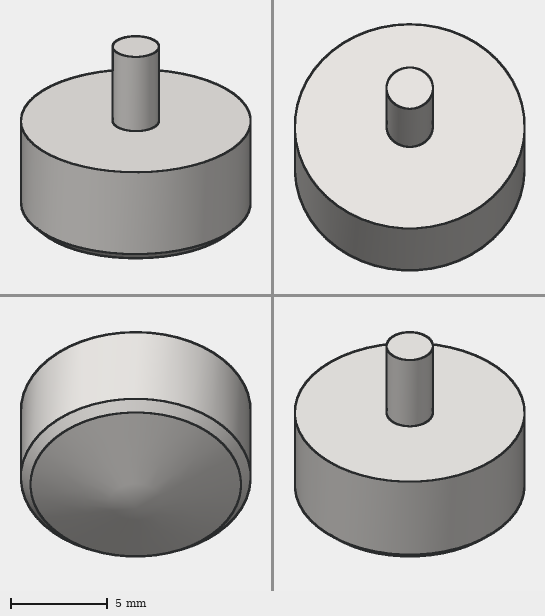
import cadquery as cq

body_diameter = 11.9
pin_diameter = 2.4
total_height = 11.2
pin_length = 4.3
chamfer = 0.5
cone_height = 1.67

body_radius = body_diameter / 2
pin_radius = pin_diameter / 2
cone_radius = body_radius - chamfer
body_bottom = cone_height + chamfer
body_top = total_height - pin_length

half_section = (
    cq.Workplane("XZ")
    .moveTo(0, 0)
    .lineTo(cone_radius, cone_height)
    .lineTo(body_radius, body_bottom)
    .lineTo(body_radius, body_top)
    .lineTo(pin_radius, body_top)
    .lineTo(pin_radius, total_height)
    .lineTo(0, total_height)
    .close()
)

result = half_section.revolve(360, (0, 0, 0), (0, 1, 0))